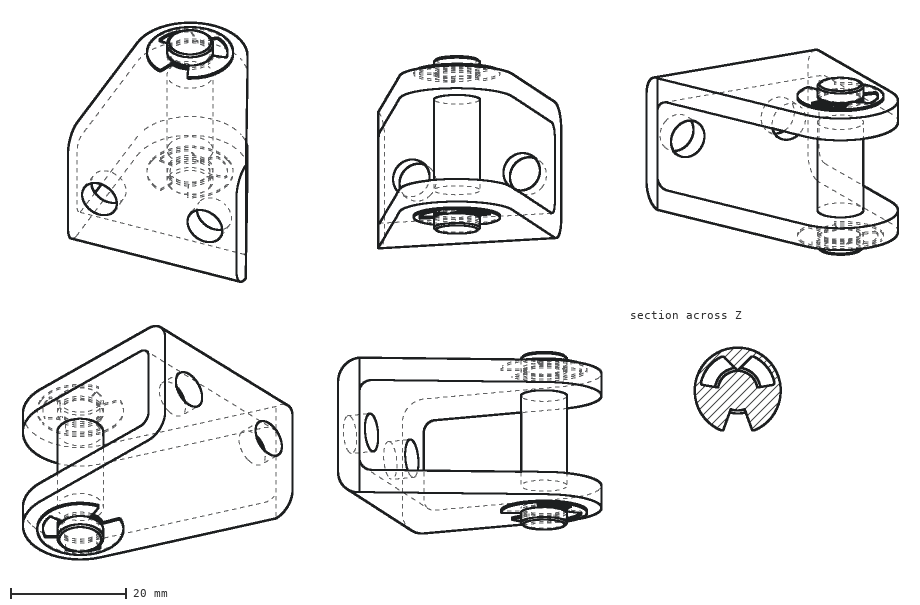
import cadquery as cq
import math

width = 32.0
depth = 40.0
bracket_height = 24.1
wall = 4.0
outer_bend_radius = 4.0
inner_bend_radius = 2.0
eye_radius = 10.0
eye_x = eye_radius
eye_y = depth - eye_radius

mount_hole_diameter = 6.6
mount_hole_inset = 6.0

pin_diameter = 8.0
pin_length = 30.0
pin_chamfer = 0.35
groove_diameter = 6.9
groove_start = 0.4
groove_width = 0.45

clip_diameter = 15.0
clip_thickness = 0.3
clip_start = groove_start + groove_width - clip_thickness
clip_corner_radius = 0.35
mouth_half_angle = 20.0
window_radius = 6.5
window_low_angle = 9.5
spoke_edge_angle = 45.0


def polar(radius, degrees):
    angle = math.radians(degrees)
    return radius * math.cos(angle), radius * math.sin(angle)


def make_bracket():
    half_height = bracket_height / 2
    channel = (
        cq.Workplane("XY")
        .box(width, depth, bracket_height, centered=(False, False, True))
        .faces("<Y").edges("|X").fillet(outer_bend_radius)
    )
    opening = (
        cq.Workplane("XY").workplane(offset=-half_height + wall)
        .rect(width, depth, centered=False)
        .extrude(bracket_height - 2 * wall)
        .translate((0, wall, 0))
        .faces("<Y").edges("|X").fillet(inner_bend_radius)
    )

    corner_dx = width - eye_x
    corner_dy = wall - eye_y
    tangent_angle = math.degrees(
        math.atan2(corner_dy, corner_dx)
        + math.acos(eye_radius / math.hypot(corner_dx, corner_dy))
    )
    tangent_dx, tangent_dy = polar(eye_radius, tangent_angle)
    outline = (
        cq.Workplane("XY").workplane(offset=-half_height)
        .lineTo(width, 0)
        .lineTo(width, wall)
        .lineTo(eye_x + tangent_dx, eye_y + tangent_dy)
        .threePointArc((eye_x, depth), (0, eye_y))
        .close()
        .extrude(bracket_height)
    )
    mount_holes = (
        cq.Workplane("XZ")
        .pushPoints([(mount_hole_inset, 0), (width - mount_hole_inset, 0)])
        .circle(mount_hole_diameter / 2)
        .extrude(-wall)
    )
    return channel.cut(opening).intersect(outline).cut(mount_holes)


def make_pin():
    pin = (
        cq.Workplane("XY").workplane(offset=-pin_length / 2)
        .circle(pin_diameter / 2)
        .extrude(pin_length)
        .faces("<Z or >Z").edges().chamfer(pin_chamfer)
    )
    groove = (
        cq.Workplane("XY").workplane(offset=bracket_height / 2 + groove_start)
        .circle(pin_diameter / 2)
        .circle(groove_diameter / 2)
        .extrude(groove_width)
    )
    return pin.cut(groove).cut(groove.mirror("XY"))


def make_clip():
    """Upper clip, centred on the pin axis, with its mouth toward -Y."""
    groove_radius = groove_diameter / 2
    clip = cq.Workplane("XY").circle(clip_diameter / 2).extrude(clip_thickness)

    mouth_left = polar(clip_diameter, -90 - mouth_half_angle)
    mouth_right = polar(clip_diameter, -90 + mouth_half_angle)
    mouth = (
        cq.Workplane("XY")
        .polyline([(0, 0), mouth_left, mouth_right])
        .close()
        .extrude(clip_thickness)
    )
    clip = (
        clip.cut(mouth).edges("|Z")
        .filter(lambda edge: edge.Center().y < -groove_radius)
        .fillet(clip_corner_radius)
    )

    spoke_apex = (0, groove_radius)
    spoke_dx, spoke_dy = polar(clip_diameter, spoke_edge_angle)
    window = (
        cq.Workplane("XY").circle(window_radius).extrude(clip_thickness)
        .intersect(
            cq.Workplane("XY")
            .polyline([
                (0, 0),
                polar(2 * clip_diameter, window_low_angle),
                (spoke_dx, groove_radius + spoke_dy),
                spoke_apex,
            ])
            .close()
            .extrude(clip_thickness)
        )
        .edges("|Z")
        .filter(lambda edge: abs(edge.Center().x) > clip_corner_radius)
        .fillet(clip_corner_radius)
    )
    core = cq.Workplane("XY").circle(groove_radius).extrude(clip_thickness)
    clip = clip.cut(window).cut(window.mirror("YZ")).union(core)
    return clip.translate((0, 0, bracket_height / 2 + clip_start))


clip = make_clip()
pin_assembly = make_pin().union(clip).union(clip.mirror("XY"))
result = make_bracket().union(pin_assembly.translate((eye_x, eye_y, 0)))